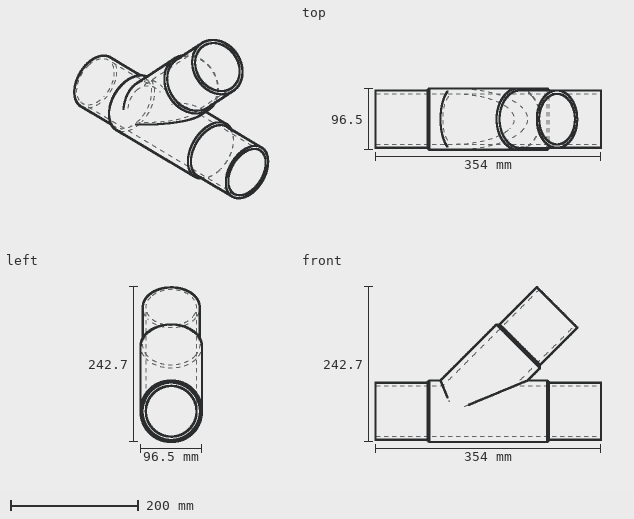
import cadquery as cq
import math

pipe_diameter = 90.0
bore_diameter = 79.3
sleeve_diameter = 96.5
sleeve_chamfer = (sleeve_diameter - pipe_diameter) / 2

run_length = 354.0
run_sleeve_start = 81.5
run_sleeve_end = run_length - run_sleeve_start

branch_angle = math.radians(45)
branch_x = 122.0
branch_length = 230.0
branch_sleeve_length = 147.5

run_axis = cq.Vector(1, 0, 0)
branch_axis = cq.Vector(math.cos(branch_angle), 0, math.sin(branch_angle))
run_origin = cq.Vector(0, 0, 0)
branch_origin = cq.Vector(branch_x, 0, 0)


def cylinder(origin, axis, start, end, diameter):
    """Round bar along an axis, between two distances from its origin."""
    plane = cq.Plane(origin=origin + axis * start, xDir=(0, 1, 0), normal=axis)
    return cq.Workplane(plane).circle(diameter / 2).extrude(end - start)


run_pipe = cylinder(run_origin, run_axis, 0, run_length, pipe_diameter)
run_sleeve = cylinder(run_origin, run_axis, run_sleeve_start, run_sleeve_end, sleeve_diameter)
run_sleeve = run_sleeve.faces("<X or >X").chamfer(sleeve_chamfer)

branch_pipe = cylinder(branch_origin, branch_axis, 0, branch_length, pipe_diameter)
branch_sleeve = cylinder(branch_origin, branch_axis, 0, branch_sleeve_length, sleeve_diameter)
branch_sleeve = branch_sleeve.faces(cq.DirectionMinMaxSelector(branch_axis)).chamfer(sleeve_chamfer)

run_bore = cylinder(run_origin, run_axis, 0, run_length, bore_diameter)
branch_bore = cylinder(branch_origin, branch_axis, 0, branch_length, bore_diameter)

run = run_sleeve.union(run_pipe)
branch = branch_sleeve.union(branch_pipe)
result = run.union(branch).cut(run_bore).cut(branch_bore)